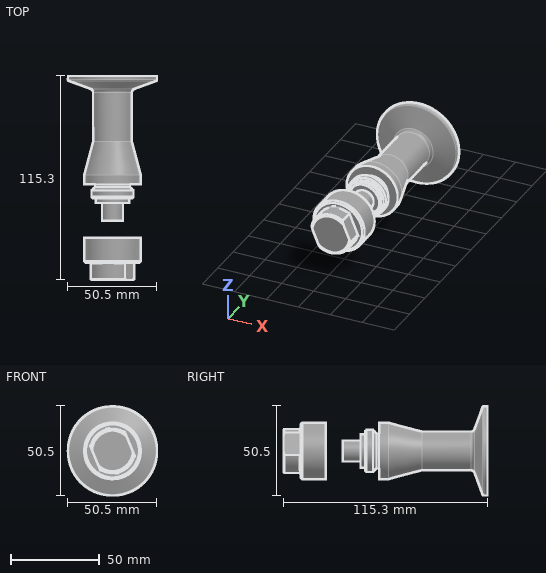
import cadquery as cq
import math

TOTAL_LENGTH = 115.3
BODY_DIAMETER = 32.0

CAP_LENGTH = 24.0
STUB_LENGTH = 9.7
CAP_CHAMFER = 1.0
STUB_DIAMETER = 25.0
STUB_CHAMFER_WIDTH = 1.0
STUB_CHAMFER_LENGTH = 0.6
STUB_ROOT_FILLET = 0.5
ACROSS_FLATS = 21.0
FLAT_ANGLE = 22.5

SHAFT_DIAMETER = 12.0
BORE_DIAMETER = 10.0
STEP_DIAMETER = 19.0
DISC_DIAMETER = 24.0
NECK_DIAMETER = 20.0
TUBE_DIAMETER = 22.0
FLANGE_DIAMETER = 50.5

SHAFT_START = 33.4
SHAFT_LENGTH = 10.0
STEP_LENGTH = 2.5
DISC_LENGTH = 4.5
DISC_CHAMFER = 1.0
NECK_LENGTH = 1.5
COLLAR_LENGTH = 5.3
TAPER_LENGTH = 18.8
FLANGE_RIM_LENGTH = 2.8
FLANGE_SLOPE = 20.0
FLANGE_EDGE_FILLET = 0.9
FLANGE_ROOT_FILLET = 2.1


def revolve_about_y(profile):
    """Turn a closed XY profile into a solid of revolution about Y."""
    return profile.close().revolve(360, (0, 0, 0), (0, 1, 0))


def circle_edge_at(radius, y):
    """Selector for the circular edge of the given radius centred on the Y axis at y."""
    margin = 0.01
    reach = radius + margin
    return cq.selectors.BoxSelector(
        (-reach, y - margin, -reach), (reach, y + margin, reach), boundingbox=True
    )


def make_cap():
    """Round cap with a narrower stub that carries two wrench flats."""
    body_radius = BODY_DIAMETER / 2
    stub_radius = STUB_DIAMETER / 2
    cap = revolve_about_y(
        cq.Workplane("XY")
        .moveTo(0, 0)
        .lineTo(stub_radius - STUB_CHAMFER_WIDTH, 0)
        .lineTo(stub_radius, STUB_CHAMFER_LENGTH)
        .lineTo(stub_radius, STUB_LENGTH)
        .lineTo(body_radius - CAP_CHAMFER, STUB_LENGTH)
        .lineTo(body_radius, STUB_LENGTH + CAP_CHAMFER)
        .lineTo(body_radius, CAP_LENGTH)
        .lineTo(0, CAP_LENGTH)
    )
    cap = cap.edges(circle_edge_at(stub_radius, STUB_LENGTH)).fillet(STUB_ROOT_FILLET)

    for angle in (FLAT_ANGLE, FLAT_ANGLE + 180):
        flat_cutter = (
            cq.Workplane("XY")
            .box(STUB_DIAMETER, STUB_LENGTH, STUB_DIAMETER, centered=(False, False, True))
            .translate((ACROSS_FLATS / 2, 0, 0))
            .rotate((0, 0, 0), (0, 1, 0), -angle)
        )
        cap = cap.cut(flat_cutter)
    return cap


def make_handle():
    """Flanged tube widening to a collar, with a stepped plug and a hollow shaft."""
    shaft_end = SHAFT_START + SHAFT_LENGTH
    disc_start = shaft_end + STEP_LENGTH
    disc_end = disc_start + DISC_LENGTH
    neck_start = disc_end + (DISC_DIAMETER - NECK_DIAMETER) / 2
    collar_start = neck_start + NECK_LENGTH
    collar_end = collar_start + COLLAR_LENGTH
    tube_start = collar_end + TAPER_LENGTH
    rim_start = TOTAL_LENGTH - FLANGE_RIM_LENGTH
    flange_overhang = (FLANGE_DIAMETER - TUBE_DIAMETER) / 2
    tube_end = rim_start - flange_overhang * math.tan(math.radians(FLANGE_SLOPE))

    handle = revolve_about_y(
        cq.Workplane("XY")
        .moveTo(0, shaft_end)
        .lineTo(BORE_DIAMETER / 2, shaft_end)
        .lineTo(BORE_DIAMETER / 2, SHAFT_START)
        .lineTo(SHAFT_DIAMETER / 2, SHAFT_START)
        .lineTo(SHAFT_DIAMETER / 2, shaft_end)
        .lineTo(STEP_DIAMETER / 2, shaft_end)
        .lineTo(STEP_DIAMETER / 2, disc_start)
        .lineTo(DISC_DIAMETER / 2 - DISC_CHAMFER, disc_start)
        .lineTo(DISC_DIAMETER / 2, disc_start + DISC_CHAMFER)
        .lineTo(DISC_DIAMETER / 2, disc_end)
        .lineTo(NECK_DIAMETER / 2, neck_start)
        .lineTo(NECK_DIAMETER / 2, collar_start)
        .lineTo(BODY_DIAMETER / 2, collar_start)
        .lineTo(BODY_DIAMETER / 2, collar_end)
        .lineTo(TUBE_DIAMETER / 2, tube_start)
        .lineTo(TUBE_DIAMETER / 2, tube_end)
        .lineTo(FLANGE_DIAMETER / 2, rim_start)
        .lineTo(FLANGE_DIAMETER / 2, TOTAL_LENGTH)
        .lineTo(0, TOTAL_LENGTH)
    )
    handle = handle.edges(circle_edge_at(FLANGE_DIAMETER / 2, rim_start)).fillet(FLANGE_EDGE_FILLET)
    return handle.edges(circle_edge_at(TUBE_DIAMETER / 2, tube_end)).fillet(FLANGE_ROOT_FILLET)


cap = make_cap()
handle = make_handle()
result = cq.Compound.makeCompound([cap.val(), handle.val()])